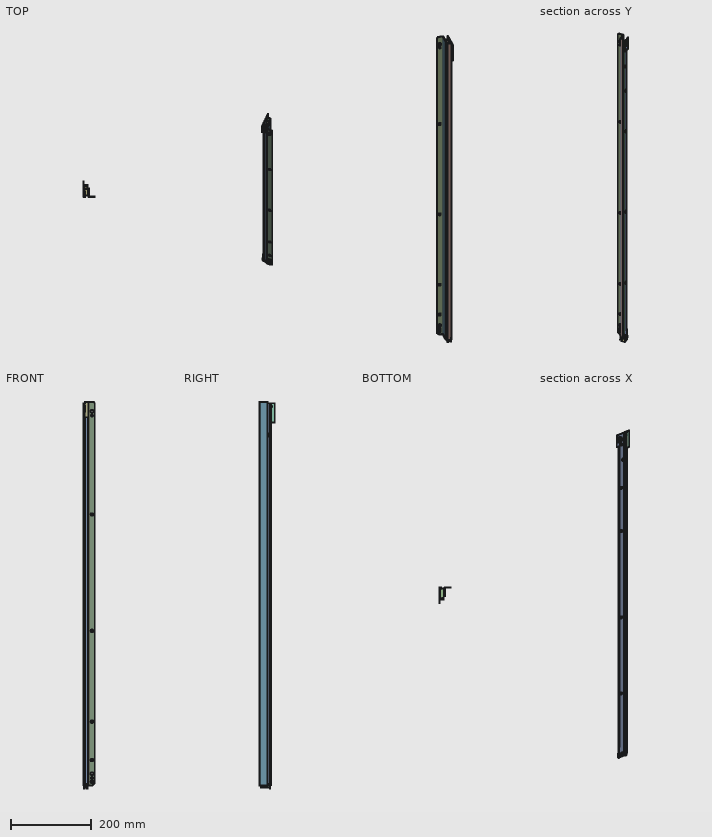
import cadquery as cq


overall_x = 28.85
overall_y = 39.5
overall_z = 956.63

inner_sheet = 1.2
outer_sheet = 2.0

inner_top = 953.5
tab_bottom = 2.6
front_lip_bottom = 12.0
rear_lip_bottom = 8.5
inner_depth_x = 11.5
inner_front_y = 3.0
inner_rear_y = 30.5
rear_return_height = 4.5
slope_run_x = 3.2
slope_front_y = 5.0
slope_rear_y = 10.0
track_bend_radius = 2.0
lower_slope_rear_y = 7.5
lower_track_top = 34.0
rear_bend_radius = 2.4
roller_bay_bottom = 919.0
roller_bay_front_y = 0.7
flag_bottom = 905.0
flag_hole_y = 30.0
flag_hole_z = 944.5
flag_hole_diameter = 4.0
wall_hole_y = 14.0
wall_hole_diameter = 6.5
wall_hole_heights = [187.0, 411.5, 666.0, 794.0, 921.5]
large_wall_hole_y = 21.2
large_wall_hole_z = 874.5
large_wall_hole_diameter = 8.0
end_plate_front_y = 4.0
end_plate_rear_y = 27.7
prong_width = 2.5

outer_bottom = 7.0
outer_wall_x = 12.6
outer_rear_y = 22.0
outer_lip_x = 4.5
outer_bend_radius = 2.7
flange_top_chamfer = 3.0
flange_bottom_chamfer = 6.5
flange_hole_x = 21.6
screw_hole_diameter = 7.0
screw_hole_heights = [36.6, 933.0]
second_hole_drop = 10.5
second_hole_diameter = 4.5
countersunk_hole_diameter = 3.6
countersink_diameter = 7.0
countersunk_hole_heights = [17.0, 70.5, 165.5, 390.0, 678.0]

roller_y = 7.6
roller_z = 939.5
roller_diameter = 15.0
roller_width = 4.0
axle_diameter = 12.5
axle_bore_diameter = 6.0


def box(x0, x1, y0, y1, z0, z1):
    """Block between two opposite corners."""
    return cq.Workplane("XY").box(x1 - x0, y1 - y0, z1 - z0, centered=False).translate((x0, y0, z0))


def bore_x(diameter, y, z, depth=inner_sheet):
    """Cylinder along X from the outer face, by default one inner sheet deep."""
    return cq.Workplane("YZ").center(y, z).circle(diameter / 2).extrude(depth)


def bore_y(diameter, x, z):
    """Cylinder along Y through the mounting flange."""
    return cq.Workplane("XZ").center(x, z).circle(diameter / 2).extrude(-overall_y)


def track(rear_y, z0, z1):
    """Sheet sloping in from the wall, then bent round into the front lip."""
    lip_start_x = slope_run_x + track_bend_radius
    return (
        cq.Workplane("XY")
        .moveTo(0, rear_y)
        .lineTo(slope_run_x, slope_front_y)
        .radiusArc((lip_start_x, inner_front_y), -track_bend_radius)
        .lineTo(inner_depth_x, inner_front_y)
        .lineTo(inner_depth_x, inner_front_y + inner_sheet)
        .lineTo(lip_start_x, inner_front_y + inner_sheet)
        .lineTo(inner_sheet, rear_y)
        .close()
        .extrude(z1 - z0)
        .translate((0, 0, z0))
    )


def make_inner_rail():
    rail = box(0, inner_sheet, slope_rear_y, inner_rear_y, rear_lip_bottom, inner_top)
    lip = box(0, inner_depth_x, inner_rear_y - inner_sheet, inner_rear_y, rear_lip_bottom, inner_top)
    rail = rail.union(lip).edges("|Z").edges("<X").edges(">Y").fillet(rear_bend_radius)

    rail = rail.union(
        box(
            inner_depth_x - inner_sheet,
            inner_depth_x,
            inner_rear_y - rear_return_height,
            inner_rear_y,
            rear_lip_bottom,
            inner_top,
        )
    )

    lower_wall = box(0, inner_sheet, lower_slope_rear_y, slope_rear_y, front_lip_bottom, lower_track_top)
    rail = rail.union(lower_wall)
    rail = rail.union(track(lower_slope_rear_y, front_lip_bottom, lower_track_top))
    rail = rail.union(track(slope_rear_y, lower_track_top, roller_bay_bottom))

    rail = rail.union(
        box(0, inner_sheet, roller_bay_front_y, slope_rear_y, roller_bay_bottom, inner_top)
    )
    rail = rail.union(
        box(0, inner_sheet, inner_rear_y - rear_bend_radius, overall_y, flag_bottom, inner_top)
    )

    rail = rail.union(
        box(0, inner_sheet, end_plate_front_y, end_plate_rear_y, rear_lip_bottom, front_lip_bottom)
    )
    tab_x = inner_sheet
    rail = rail.union(
        box(tab_x, tab_x + inner_sheet, end_plate_front_y, end_plate_rear_y, tab_bottom, front_lip_bottom)
    )
    plate_top = tab_bottom + inner_sheet
    rail = rail.union(
        box(tab_x, inner_depth_x, end_plate_front_y, end_plate_rear_y, tab_bottom, plate_top)
    )

    for x in (tab_x, inner_depth_x - prong_width):
        rail = rail.union(
            box(x, x + prong_width, end_plate_rear_y - inner_sheet, end_plate_rear_y, 0, plate_top)
        )

    for z in wall_hole_heights:
        rail = rail.cut(bore_x(wall_hole_diameter, wall_hole_y, z))
    rail = rail.cut(bore_x(large_wall_hole_diameter, large_wall_hole_y, large_wall_hole_z))
    rail = rail.cut(bore_x(flag_hole_diameter, flag_hole_y, flag_hole_z))
    return rail.cut(bore_x(axle_diameter, roller_y, roller_z))


def make_outer_rail():
    inner_radius = outer_bend_radius - outer_sheet
    wall_face_x = outer_wall_x + outer_sheet
    flange_start_x = outer_wall_x + outer_bend_radius
    height = overall_z - outer_bottom
    rail = (
        cq.Workplane("XY")
        .moveTo(overall_x, 0)
        .lineTo(flange_start_x, 0)
        .radiusArc((outer_wall_x, outer_bend_radius), outer_bend_radius)
        .lineTo(outer_wall_x, outer_rear_y - outer_sheet)
        .lineTo(outer_lip_x, outer_rear_y - outer_sheet)
        .lineTo(outer_lip_x, outer_rear_y)
        .lineTo(wall_face_x, outer_rear_y)
        .lineTo(wall_face_x, outer_bend_radius)
        .radiusArc((flange_start_x, outer_sheet), -inner_radius)
        .lineTo(overall_x, outer_sheet)
        .close()
        .extrude(height)
        .translate((0, 0, outer_bottom))
    )
    rail = rail.edges("|Y").edges(">X").edges(">Z").chamfer(flange_top_chamfer)
    rail = rail.edges("|Y").edges("<Z").edges(">X").chamfer(flange_bottom_chamfer)
    for z in screw_hole_heights:
        rail = rail.cut(bore_y(screw_hole_diameter, flange_hole_x, z))
        rail = rail.cut(bore_y(second_hole_diameter, flange_hole_x, z - second_hole_drop))
    sink_depth = (countersink_diameter - countersunk_hole_diameter) / 2
    for z in countersunk_hole_heights:
        rail = rail.cut(bore_y(countersunk_hole_diameter, flange_hole_x, z))
        sink = cq.Solid.makeCone(
            countersink_diameter / 2,
            countersunk_hole_diameter / 2,
            sink_depth,
            pnt=cq.Vector(flange_hole_x, 0, z),
            dir=cq.Vector(0, 1, 0),
        )
        rail = rail.cut(cq.Workplane(sink))
    return rail


def make_roller():
    wheel = cq.Workplane("YZ", origin=(inner_sheet, roller_y, roller_z)).circle(roller_diameter / 2)
    axle = cq.Workplane("YZ", origin=(0, roller_y, roller_z)).circle(axle_diameter / 2)
    roller = wheel.extrude(roller_width).union(axle.extrude(inner_sheet))
    return roller.cut(bore_x(axle_bore_diameter, roller_y, roller_z, inner_sheet + roller_width))


inner_rail = make_inner_rail()
outer_rail = make_outer_rail()
roller = make_roller()

result = cq.Compound.makeCompound([inner_rail.val(), outer_rail.val(), roller.val()])